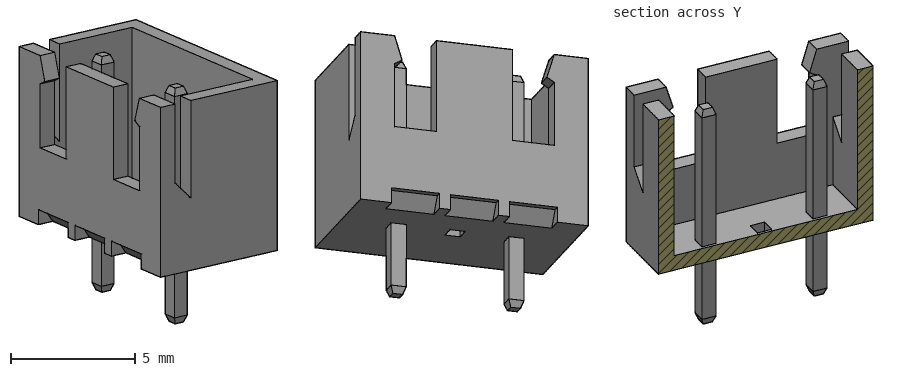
import cadquery as cq

total_height = 10.21
body_width = 9.67
body_depth = 5.84
body_height = 7.22
wall = 0.71
front_wall = 0.72
floor_thickness = 0.7

pitch = 2.5
pin_size = 0.64
pin_y = 2.49
pin_bottom = body_height - total_height
pin_top = 7.02
tip_height = 0.31
tip_inset = 0.11

window_inner_x = 1.61
window_outer_x = 3.39
window_sill = 3.3
hook_reach = 0.32
hook_tip_drop = 1.02
hook_end_drop = 1.2

slot_width = 0.79
slot_bottom = 3.08

recess_width = 2.03
recess_height = 0.64
recess_slope_run = 0.44


def block(x_min, x_max, y_min, y_max, z_min, z_max):
    """Box between the given limits."""
    size = (x_max - x_min, y_max - y_min, z_max - z_min)
    return cq.Workplane("XY").box(*size, centered=False).translate((x_min, y_min, z_min))


def prism_along_x(points, width, x_center):
    """Extrude a (Y, Z) outline symmetrically about x_center."""
    outline = cq.Workplane("YZ").polyline(points).close()
    return outline.extrude(width / 2, both=True).translate((x_center, 0, 0))


def square_bar(x_center, z_min, z_max):
    """Upright bar with the pin cross-section."""
    half = pin_size / 2
    return block(x_center - half, x_center + half, pin_y - half, pin_y + half, z_min, z_max)


def shroud():
    """Outer block with its cavity above the floor."""
    half = body_width / 2
    outside = block(-half, half, 0, body_depth, 0, body_height)
    cavity = block(-half + wall, half - wall, front_wall, body_depth - wall, floor_thickness, body_height)
    return outside.cut(cavity)


def side_slots():
    """Slots through both side walls, with bottoms rising at 45 degrees to the front."""
    slot_back = front_wall + slot_width
    points = [
        (front_wall, body_height),
        (front_wall, slot_bottom + slot_width),
        (slot_back, slot_bottom),
        (slot_back, body_height),
    ]
    return prism_along_x(points, body_width, 0)


def window():
    """Right-hand window, running through the front wall around its hook."""
    points = [
        (window_inner_x, body_height),
        (window_inner_x, window_sill),
        (window_outer_x, window_sill),
        (window_outer_x, body_height - hook_end_drop),
        (window_outer_x - hook_reach, body_height - hook_tip_drop),
        (window_outer_x, body_height),
    ]
    return cq.Workplane("XZ").polyline(points).close().extrude(-front_wall)


def recess(x_center):
    """Notch under the front wall, with a back face leaning towards the front at the top."""
    points = [
        (0, 0),
        (0, recess_height),
        (front_wall - recess_slope_run, recess_height),
        (front_wall, 0),
    ]
    return prism_along_x(points, recess_width, x_center)


def pin_tip(x_center, z_base, direction):
    """Tapered pin end, pointing up (direction 1) or down (direction -1)."""
    base = cq.Workplane("XY").rect(pin_size, pin_size)
    end_size = pin_size - 2 * tip_inset
    tip = base.workplane(offset=direction * tip_height).rect(end_size, end_size).loft(ruled=True)
    return tip.translate((x_center, pin_y, z_base))


def pin(x_center):
    """Square pin tapered at both ends."""
    shaft_bottom = pin_bottom + tip_height
    shaft_top = pin_top - tip_height
    shaft = square_bar(x_center, shaft_bottom, shaft_top)
    return shaft.union(pin_tip(x_center, shaft_top, 1)).union(pin_tip(x_center, shaft_bottom, -1))


housing = shroud().cut(side_slots())
housing = housing.cut(window()).cut(window().mirror("YZ"))
housing = housing.cut(square_bar(0, 0, floor_thickness))
for recess_x in (-pitch, 0, pitch):
    housing = housing.cut(recess(recess_x))

result = housing
for pin_x in (-pitch, pitch):
    result = result.union(pin(pin_x))